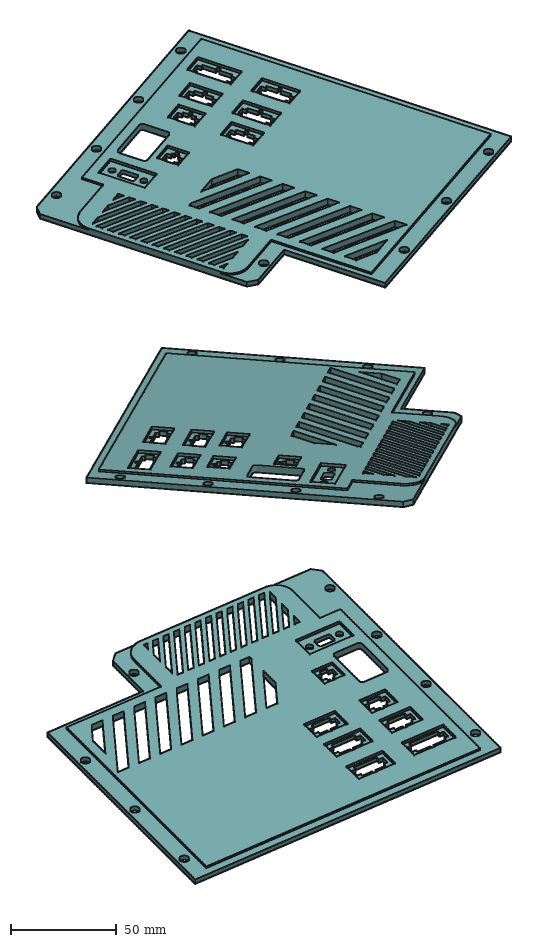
import cadquery as cq
import math


plate_width = 172.55
plate_length = 156.8
total_height = 3.8
panel_rise = 1.0
flange_thickness = total_height - panel_rise
tab_width = 118.5
tab_length = 30.0
tab_chamfer = 4.0

panel_side_inset = 8.9
panel_top_inset = 4.0
panel_bottom = 32.8
panel_tab_left = 20.4
panel_tab_right = 110.1
panel_tab_radius = 9.5

screw_diameter = 4.6
screw_edge_offset = 4.0
screw_pitch = 42.4
first_side_screw_y = 56.6
side_screw_rows = 3
tab_screw_y = 16.5
tab_screw_edge_offset = 3.7

pocket_floor = 2.3
contact_pitch = 3.0
left_column_right_edge = 37.5
right_column_right_edge = 68.8
single_pocket_right_edge = 44.6
row_centers = (134.3, 115.1, 98.0)
single_pocket_center_y = 68.0
connectors = (
    (left_column_right_edge, row_centers[0], 4),
    (right_column_right_edge, row_centers[0], 3),
    (left_column_right_edge, row_centers[1], 2),
    (right_column_right_edge, row_centers[1], 3),
    (left_column_right_edge, row_centers[2], 1),
    (right_column_right_edge, row_centers[2], 2),
    (single_pocket_right_edge, single_pocket_center_y, 0),
)
pocket_base_width = 11.5
body_base_width = 4.0
arm_base_width = 8.3
key_width = 1.7
pocket_height = 10.9
opening_shift = 0.15
body_bottom = 1.2
body_top = 8.3
arm_bottom = 2.9
arm_top = 6.9
key_top = 9.8

switch_left = 14.0
switch_bottom = 57.7
switch_width = 15.9
switch_length = 24.9
switch_radius = 1.8

port_pocket_left = 14.0
port_pocket_bottom = 39.8
port_pocket_width = 24.8
port_pocket_length = 12.1
port_center_x = 26.5
port_center_y = 46.0
port_width = 8.9
port_length = 5.2
port_radius = 1.0
port_screw_diameter = 3.5
port_screw_spacing = 16.9

slot_slope = math.tan(math.radians(30))

large_vent_left = 63.6
large_vent_right = 158.5
large_vent_bottom = 37.9
large_vent_top = 73.0
large_vent_overhang = 3.0
large_vent_step_y = 65.0
large_slot_pitch = 12.0
large_slot_width = 6.2
large_slot_start = 50.6
large_slot_count = 9

small_vent_left = 29.9
small_vent_right = 100.5
small_vent_bottom = 3.2
small_vent_top = 29.9
small_slot_pitch = large_slot_pitch / 2
small_slot_width = large_slot_width / 2
small_slot_start = 14.35
small_slot_count = 15


def block(left, bottom, width, length, z_bottom=0.0):
    """Box from its lower left corner, reaching from z_bottom to the top face."""
    height = total_height - z_bottom
    return cq.Workplane("XY").box(width, length, height, centered=False).translate((left, bottom, z_bottom))


def make_flange():
    return (
        cq.Workplane("XY")
        .moveTo(tab_chamfer, 0)
        .lineTo(tab_width - tab_chamfer, 0)
        .lineTo(tab_width, tab_chamfer)
        .lineTo(tab_width, tab_length)
        .lineTo(plate_width, tab_length)
        .lineTo(plate_width, plate_length)
        .lineTo(0, plate_length)
        .lineTo(0, tab_chamfer)
        .close()
        .extrude(flange_thickness)
    )


def make_panel():
    left = panel_side_inset
    right = plate_width - panel_side_inset
    top = plate_length - panel_top_inset
    return (
        cq.Workplane("XY")
        .moveTo(panel_tab_left + panel_tab_radius, 0)
        .lineTo(panel_tab_right - panel_tab_radius, 0)
        .radiusArc((panel_tab_right, panel_tab_radius), -panel_tab_radius)
        .lineTo(panel_tab_right, panel_bottom)
        .lineTo(right, panel_bottom)
        .lineTo(right, top)
        .lineTo(left, top)
        .lineTo(left, panel_bottom)
        .lineTo(panel_tab_left, panel_bottom)
        .lineTo(panel_tab_left, panel_tab_radius)
        .radiusArc((panel_tab_left + panel_tab_radius, 0), -panel_tab_radius)
        .close()
        .extrude(total_height)
    )


def make_screw_holes():
    points = []
    for row in range(side_screw_rows):
        y = first_side_screw_y + row * screw_pitch
        points.append((screw_edge_offset, y))
        points.append((plate_width - screw_edge_offset, y))
    points.append((screw_edge_offset, tab_screw_y))
    points.append((tab_width - tab_screw_edge_offset, tab_screw_y))
    return cq.Workplane("XY").pushPoints(points).circle(screw_diameter / 2).extrude(total_height)


def make_connector(right_edge, center_y, pitches):
    """Pocket plus a through opening with side arms and a polarising key."""
    extra_width = pitches * contact_pitch
    pocket_width = pocket_base_width + extra_width
    body_width = body_base_width + extra_width
    arm_width = arm_base_width + extra_width
    center_x = right_edge - pocket_width / 2 + opening_shift
    base_y = center_y - pocket_height / 2

    pocket = block(right_edge - pocket_width, base_y, pocket_width, pocket_height, pocket_floor)
    body = block(center_x - body_width / 2, base_y + body_bottom, body_width, body_top - body_bottom)
    arms = block(center_x - arm_width / 2, base_y + arm_bottom, arm_width, arm_top - arm_bottom)
    key = block(center_x - key_width / 2, base_y + arm_top, key_width, key_top - arm_top)
    return pocket.union(body).union(arms).union(key)


def make_switch_opening():
    opening = block(switch_left, switch_bottom, switch_width, switch_length)
    return opening.edges("|Z").fillet(switch_radius)


def make_port():
    pocket = block(
        port_pocket_left, port_pocket_bottom, port_pocket_width, port_pocket_length, pocket_floor
    )
    window = block(
        port_center_x - port_width / 2, port_center_y - port_length / 2, port_width, port_length
    )
    window = window.edges("|Z").fillet(port_radius)
    screws = (
        cq.Workplane("XY")
        .center(port_center_x, port_center_y)
        .rarray(port_screw_spacing, 1, 2, 1)
        .circle(port_screw_diameter / 2)
        .extrude(total_height)
    )
    return pocket.union(window).union(screws)


def make_slots(start, pitch, width, count, bottom, top):
    """Row of slots leaning to the right; start is the first slot's lower left corner."""
    lean = (top - bottom) * slot_slope
    slots = cq.Workplane("XY")
    for index in range(count):
        left = start + index * pitch
        corners = [(left, bottom), (left + width, bottom), (left + width + lean, top), (left + lean, top)]
        slots = slots.polyline(corners).close()
    return slots.extrude(total_height)


def make_large_vent():
    """Slots trimmed at both ends, with the right trim line stepped out near the top."""
    outer_right = large_vent_right + large_vent_overhang
    window = (
        cq.Workplane("XY")
        .moveTo(large_vent_left, large_vent_bottom)
        .lineTo(large_vent_right, large_vent_bottom)
        .lineTo(large_vent_right, large_vent_step_y)
        .lineTo(outer_right, large_vent_step_y)
        .lineTo(outer_right, large_vent_top)
        .lineTo(large_vent_left, large_vent_top)
        .close()
        .extrude(total_height)
    )
    slots = make_slots(
        large_slot_start,
        large_slot_pitch,
        large_slot_width,
        large_slot_count,
        large_vent_bottom,
        large_vent_top,
    )
    return slots.intersect(window)


def make_small_vent():
    window = block(
        small_vent_left,
        small_vent_bottom,
        small_vent_right - small_vent_left,
        small_vent_top - small_vent_bottom,
    )
    slots = make_slots(
        small_slot_start,
        small_slot_pitch,
        small_slot_width,
        small_slot_count,
        small_vent_bottom,
        small_vent_top,
    )
    return slots.intersect(window)


result = make_flange().union(make_panel())
result = result.cut(make_screw_holes())
for right_edge, center_y, pitches in connectors:
    result = result.cut(make_connector(right_edge, center_y, pitches))
result = result.cut(make_switch_opening())
result = result.cut(make_port())
result = result.cut(make_large_vent())
result = result.cut(make_small_vent())